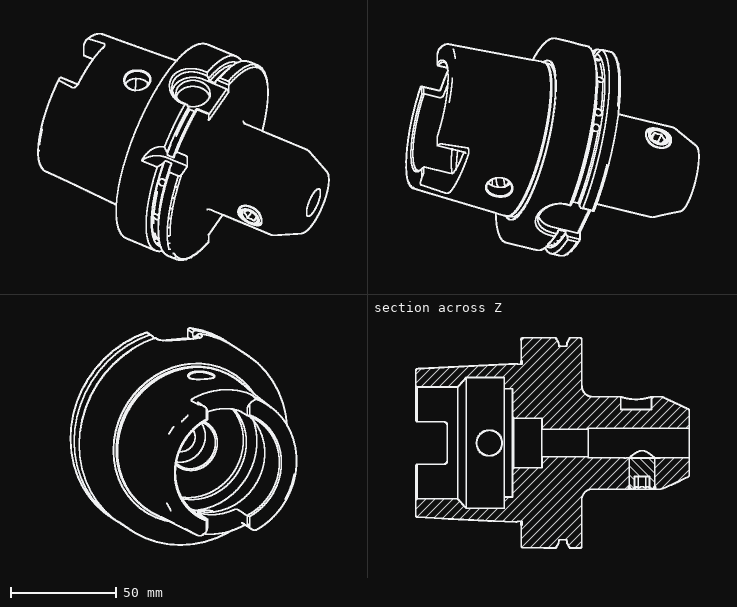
import cadquery as cq
import math


RELIEF_START = 47.9
RELIEF_BOTTOM = 48.6
FLANGE_START = 50.0
FLANGE_END = 79.0
NOSE_CONE_START = 117.0
OVERALL_LENGTH = 130.0

SHANK_TIP_RADIUS = 35.3
SHANK_TAPER = 1 / 10
SHANK_BASE_RADIUS = SHANK_TIP_RADIUS + RELIEF_START * SHANK_TAPER / 2
SHANK_TIP_FILLET = 1.0
SHANK_ROOT_OVERLAP = 2.0
RELIEF_RADIUS = 37.45
CROSS_HOLE_DIAMETER = 12.0
CROSS_HOLE_CHAMFER = 0.4
CROSS_HOLE_X = 35.0

DRIVE_SLOT_HALF_WIDTH = 10.0
DRIVE_SLOT_STRAIGHT_TOP = 27.2
DRIVE_SLOT_FLARE_RADIUS = 5.0
DRIVE_SLOT_FLOOR_FILLET = 1.6
TOP_DRIVE_SLOT_DEPTH = 10.0
BOTTOM_DRIVE_SLOT_DEPTH = 15.0
DRIVE_SLOT_LEAD_WIDTH = 1.15
DRIVE_SLOT_LEAD_DEPTH = 0.66

MOUTH_RADIUS = 26.5
MOUTH_CHAMFER = 0.75
MOUTH_LENGTH = 20.0
CLAMP_UNDERCUT_RADIUS = 31.0
CLAMP_UNDERCUT_START = 24.0
CLAMP_UNDERCUT_END = 42.0
CAVITY_FLOOR_X = 46.0
CAVITY_FLOOR_RADIUS = 25.65
COOLANT_BORE_RADIUS = 11.7
COOLANT_BORE_CHAMFER = 0.7
COOLANT_BORE_END = 60.0
THROUGH_HOLE_RADIUS = 6.5
TOOL_BORE_RADIUS = 7.0
TOOL_BORE_DEPTH = 48.0

FLANGE_RADIUS = 50.0
FLANGE_EDGE_FILLET = 1.0
FACE_RECESS_RADIUS = 38.9
FACE_RECESS_DEPTH = 0.4
GROOVE_CENTRE_X = 69.9
GROOVE_BOTTOM_WIDTH = 3.75
GROOVE_TOP_WIDTH = 6.6
GROOVE_STEP_RADIUS = 47.4
GROOVE_BOTTOM_RADIUS = 46.0
GROOVE_CORNER_FILLET = 0.6

KEY_SLOT_HALF_WIDTH = 10.0
KEY_SLOT_CENTRE_X = 65.0
KEY_SLOT_FLOOR = 44.0
KEY_SLOT_CHAMFER = 1.2
CHIP_POCKET_DIAMETER = 16.2
CHIP_POCKET_DEPTH = 4.5

NOTCH_OFFSET = 31.5
NOTCH_END_RADIUS = 10.0
NOTCH_ARC_CENTRE_X = 67.9

BALANCE_HOLE_DIAMETER = 3.5
BALANCE_HOLE_DEPTH = 10.0
BALANCE_HOLE_ANGLES = (30.0, 4.6, -20.0, -30.0)

NOSE_RADIUS = 22.0
NOSE_ROOT_FILLET = 5.0
NOSE_CONE_ANGLE = 25.0
NOSE_CONE_BLEND = 2.0
NOSE_END_FILLET = 1.0
BALANCE_POCKET_X = 104.7
BALANCE_POCKET_DIAMETER = 14.5
BALANCE_POCKET_DEPTH = 6.0

SCREW_X = 107.5
SCREW_DIAMETER = 12.0
SCREW_HOLE_MOUTH_DIAMETER = 12.8
SCREW_CHAMFER = 1.0
SOCKET_ACROSS_FLATS = 6.0
SOCKET_DEPTH = 6.0
SOCKET_MOUTH_DIAMETER = 8.4

CLEARANCE = 5.0
PICK_MARGIN = 0.1


def turned(profile):
    """Solid of revolution about X from a closed (x, radius) outline."""
    return profile.close().revolve(360, (0, 0, 0), (1, 0, 0))


def rod_x(radius, start, end):
    return cq.Workplane("YZ", origin=(start, 0, 0)).circle(radius).extrude(end - start)


def make_shank():
    """Taper with a relief at its base, a root that reaches into the flange and a cross hole."""
    fillet_end_radius = SHANK_TIP_RADIUS + SHANK_TIP_FILLET * SHANK_TAPER / 2
    profile = (
        cq.Workplane("XY")
        .lineTo(0, SHANK_TIP_RADIUS - SHANK_TIP_FILLET)
        .radiusArc((SHANK_TIP_FILLET, fillet_end_radius), SHANK_TIP_FILLET)
        .lineTo(RELIEF_START, SHANK_BASE_RADIUS)
        .lineTo(RELIEF_BOTTOM, RELIEF_RADIUS)
        .lineTo(FLANGE_START + SHANK_ROOT_OVERLAP, RELIEF_RADIUS)
        .lineTo(FLANGE_START + SHANK_ROOT_OVERLAP, 0)
    )
    shank = turned(profile)
    cross_hole = cq.Workplane("XY", origin=(CROSS_HOLE_X, 0, 0)).circle(CROSS_HOLE_DIAMETER / 2)
    shank = shank.cut(cross_hole.extrude(FLANGE_RADIUS, both=True))
    chamfered_edges = []
    for side in (1, -1):
        rim_zone = cq.selectors.BoxSelector(
            (CROSS_HOLE_X - CROSS_HOLE_DIAMETER, -CROSS_HOLE_DIAMETER, side * MOUTH_RADIUS),
            (CROSS_HOLE_X + CROSS_HOLE_DIAMETER / 2, CROSS_HOLE_DIAMETER, side * FLANGE_RADIUS),
        )
        chamfered_edges += shank.edges(rim_zone).edges("not %LINE").vals()
    return shank.newObject(chamfered_edges).chamfer(CROSS_HOLE_CHAMFER)


def make_drive_slot_cutter(depth):
    """Slot opening upward; its walls flare outward in an arc and its floor corners are rounded."""
    flare_edge = DRIVE_SLOT_HALF_WIDTH + DRIVE_SLOT_FLARE_RADIUS
    flare_top = DRIVE_SLOT_STRAIGHT_TOP + DRIVE_SLOT_FLARE_RADIUS
    outer_edge = FLANGE_RADIUS
    slot = (
        cq.Workplane("YZ", origin=(-CLEARANCE, 0, 0))
        .moveTo(-DRIVE_SLOT_HALF_WIDTH, 0)
        .lineTo(-DRIVE_SLOT_HALF_WIDTH, DRIVE_SLOT_STRAIGHT_TOP)
        .radiusArc((-flare_edge, flare_top), -DRIVE_SLOT_FLARE_RADIUS)
        .lineTo(-outer_edge, flare_top)
        .lineTo(-outer_edge, outer_edge)
        .lineTo(outer_edge, outer_edge)
        .lineTo(outer_edge, flare_top)
        .lineTo(flare_edge, flare_top)
        .radiusArc((DRIVE_SLOT_HALF_WIDTH, DRIVE_SLOT_STRAIGHT_TOP), -DRIVE_SLOT_FLARE_RADIUS)
        .lineTo(DRIVE_SLOT_HALF_WIDTH, 0)
        .close()
        .extrude(CLEARANCE + depth)
    )
    floor_sides = cq.selectors.BoxSelector(
        (depth - PICK_MARGIN, -outer_edge + PICK_MARGIN, PICK_MARGIN),
        (depth + PICK_MARGIN, outer_edge - PICK_MARGIN, flare_top + PICK_MARGIN),
    )
    slot = slot.edges(floor_sides).fillet(DRIVE_SLOT_FLOOR_FILLET)
    lead_in = (
        cq.Workplane("XY")
        .moveTo(0, -DRIVE_SLOT_HALF_WIDTH - DRIVE_SLOT_LEAD_WIDTH)
        .lineTo(0, DRIVE_SLOT_HALF_WIDTH + DRIVE_SLOT_LEAD_WIDTH)
        .lineTo(DRIVE_SLOT_LEAD_DEPTH, DRIVE_SLOT_HALF_WIDTH)
        .lineTo(DRIVE_SLOT_LEAD_DEPTH, -DRIVE_SLOT_HALF_WIDTH)
        .close()
        .extrude(outer_edge)
    )
    return slot.union(lead_in)


def make_key_slot_cutter(side):
    reach = FLANGE_RADIUS + CLEARANCE - KEY_SLOT_FLOOR
    plane = cq.Workplane("XY", origin=(KEY_SLOT_CENTRE_X, 0, side * KEY_SLOT_FLOOR))
    round_end = plane.circle(KEY_SLOT_HALF_WIDTH).extrude(side * reach)
    length = FLANGE_END + CLEARANCE - KEY_SLOT_CENTRE_X
    straight = plane.center(length / 2, 0).rect(length, 2 * KEY_SLOT_HALF_WIDTH).extrude(side * reach)
    return round_end.union(straight)


def make_flange():
    """Disc with two chamfered key slots, rounded edges and a shallow recess around the shank."""
    flange = rod_x(FLANGE_RADIUS, FLANGE_START, FLANGE_END)
    for side in (1, -1):
        flange = flange.cut(make_key_slot_cutter(side))
    chamfered_edges = flange.faces(">X").edges("|Y").vals()
    wall_middle = (KEY_SLOT_FLOOR + FLANGE_RADIUS) / 2 + PICK_MARGIN
    for side in (1, -1):
        rim_zone = cq.selectors.BoxSelector(
            (FLANGE_START + PICK_MARGIN, -KEY_SLOT_HALF_WIDTH - PICK_MARGIN, side * wall_middle),
            (FLANGE_END - PICK_MARGIN, KEY_SLOT_HALF_WIDTH + PICK_MARGIN, side * FLANGE_RADIUS),
        )
        chamfered_edges += flange.edges(rim_zone).vals()
    flange = flange.newObject(chamfered_edges).chamfer(KEY_SLOT_CHAMFER)
    rounded_blank = rod_x(FLANGE_RADIUS, FLANGE_START, FLANGE_END).edges().fillet(FLANGE_EDGE_FILLET)
    face_recess = rod_x(FACE_RECESS_RADIUS, FLANGE_START, FLANGE_START + FACE_RECESS_DEPTH)
    return flange.intersect(rounded_blank).cut(face_recess)


def make_chip_pocket_cutter():
    plane = cq.Workplane("XY", origin=(KEY_SLOT_CENTRE_X, 0, KEY_SLOT_FLOOR - CHIP_POCKET_DEPTH))
    return plane.circle(CHIP_POCKET_DIAMETER / 2).extrude(CHIP_POCKET_DEPTH + CLEARANCE)


def make_groove_cutter():
    """Gripper groove with sloping sides above a straight-walled bottom."""
    half_bottom = GROOVE_BOTTOM_WIDTH / 2
    half_top = GROOVE_TOP_WIDTH / 2
    corner_x = half_bottom - GROOVE_CORNER_FILLET
    corner_radius = GROOVE_BOTTOM_RADIUS + GROOVE_CORNER_FILLET
    outside = FLANGE_RADIUS + CLEARANCE
    profile = (
        cq.Workplane("XY", origin=(GROOVE_CENTRE_X, 0, 0))
        .moveTo(-corner_x, GROOVE_BOTTOM_RADIUS)
        .lineTo(corner_x, GROOVE_BOTTOM_RADIUS)
        .radiusArc((half_bottom, corner_radius), -GROOVE_CORNER_FILLET)
        .lineTo(half_bottom, GROOVE_STEP_RADIUS)
        .lineTo(half_top, FLANGE_RADIUS)
        .lineTo(half_top, outside)
        .lineTo(-half_top, outside)
        .lineTo(-half_top, FLANGE_RADIUS)
        .lineTo(-half_bottom, GROOVE_STEP_RADIUS)
        .lineTo(-half_bottom, corner_radius)
        .radiusArc((-corner_x, GROOVE_BOTTOM_RADIUS), -GROOVE_CORNER_FILLET)
    )
    return turned(profile)


def make_notch_cutter():
    """Corner step with flat faces at -Y and +Z, run out at its -X end by an upright cutter."""
    outer = FLANGE_RADIUS + CLEARANCE
    height = outer - NOTCH_OFFSET
    plane = cq.Workplane("XY", origin=(NOTCH_ARC_CENTRE_X, -NOTCH_OFFSET, NOTCH_OFFSET))
    profile = (
        plane.lineTo(FLANGE_END + CLEARANCE - NOTCH_ARC_CENTRE_X, 0)
        .lineTo(FLANGE_END + CLEARANCE - NOTCH_ARC_CENTRE_X, -height)
        .lineTo(-NOTCH_END_RADIUS, -height)
        .lineTo(-NOTCH_END_RADIUS, -NOTCH_END_RADIUS)
        .radiusArc((0, 0), NOTCH_END_RADIUS)
        .close()
    )
    return profile.extrude(height)


def make_balance_hole_cutter(angle):
    """Radial hole; the angle is measured from -Y towards +Z."""
    hole_floor = GROOVE_BOTTOM_RADIUS - BALANCE_HOLE_DEPTH
    plane = cq.Workplane("XZ", origin=(GROOVE_CENTRE_X, -hole_floor, 0))
    hole = plane.circle(BALANCE_HOLE_DIAMETER / 2).extrude(BALANCE_HOLE_DEPTH + GROOVE_CORNER_FILLET)
    return hole.rotate((0, 0, 0), (1, 0, 0), -angle)


def make_nose():
    slope = math.radians(NOSE_CONE_ANGLE)
    end_radius = NOSE_RADIUS - (OVERALL_LENGTH - NOSE_CONE_START) * math.tan(slope)
    blend_reach = NOSE_CONE_BLEND * math.tan(slope / 2)
    end_reach = NOSE_END_FILLET * math.tan((math.pi / 2 - slope) / 2)
    profile = (
        cq.Workplane("XY", origin=(FLANGE_END, 0, 0))
        .lineTo(0, NOSE_RADIUS + NOSE_ROOT_FILLET)
        .radiusArc((NOSE_ROOT_FILLET, NOSE_RADIUS), -NOSE_ROOT_FILLET)
        .lineTo(NOSE_CONE_START - blend_reach - FLANGE_END, NOSE_RADIUS)
        .radiusArc(
            (
                NOSE_CONE_START + blend_reach * math.cos(slope) - FLANGE_END,
                NOSE_RADIUS - blend_reach * math.sin(slope),
            ),
            NOSE_CONE_BLEND,
        )
        .lineTo(
            OVERALL_LENGTH - end_reach * math.cos(slope) - FLANGE_END,
            end_radius + end_reach * math.sin(slope),
        )
        .radiusArc((OVERALL_LENGTH - FLANGE_END, end_radius - end_reach), NOSE_END_FILLET)
        .lineTo(OVERALL_LENGTH - FLANGE_END, 0)
    )
    return turned(profile)


def make_cavity_cutter():
    """Everything bored along the axis, from the open shank end to the nose."""
    profile = (
        cq.Workplane("XY")
        .lineTo(0, MOUTH_RADIUS + MOUTH_CHAMFER)
        .lineTo(MOUTH_CHAMFER, MOUTH_RADIUS)
        .lineTo(MOUTH_LENGTH, MOUTH_RADIUS)
        .lineTo(CLAMP_UNDERCUT_START, CLAMP_UNDERCUT_RADIUS)
        .lineTo(CLAMP_UNDERCUT_END, CLAMP_UNDERCUT_RADIUS)
        .lineTo(CLAMP_UNDERCUT_END, CAVITY_FLOOR_RADIUS)
        .lineTo(CAVITY_FLOOR_X, CAVITY_FLOOR_RADIUS)
        .lineTo(CAVITY_FLOOR_X, COOLANT_BORE_RADIUS + COOLANT_BORE_CHAMFER)
        .lineTo(CAVITY_FLOOR_X + COOLANT_BORE_CHAMFER, COOLANT_BORE_RADIUS)
        .lineTo(COOLANT_BORE_END, COOLANT_BORE_RADIUS)
        .lineTo(COOLANT_BORE_END, THROUGH_HOLE_RADIUS)
        .lineTo(OVERALL_LENGTH - TOOL_BORE_DEPTH, THROUGH_HOLE_RADIUS)
        .lineTo(OVERALL_LENGTH - TOOL_BORE_DEPTH, TOOL_BORE_RADIUS)
        .lineTo(OVERALL_LENGTH, TOOL_BORE_RADIUS)
        .lineTo(OVERALL_LENGTH, 0)
    )
    return turned(profile)


def make_balance_pocket_cutter():
    plane = cq.Workplane("XZ", origin=(BALANCE_POCKET_X, NOSE_RADIUS - BALANCE_POCKET_DEPTH, 0))
    return plane.circle(BALANCE_POCKET_DIAMETER / 2).extrude(-(BALANCE_POCKET_DEPTH + CLEARANCE))


def make_screw_hole_cutter():
    """Screw hole from the nose surface to the tool bore, with a countersunk mouth."""
    mouth_radius = SCREW_HOLE_MOUTH_DIAMETER / 2
    rim_depth = math.sqrt(NOSE_RADIUS**2 - mouth_radius**2)
    lead = mouth_radius - SCREW_DIAMETER / 2
    plane = cq.Workplane("XZ", origin=(SCREW_X, 0, 0))
    hole = plane.circle(SCREW_DIAMETER / 2).extrude(NOSE_RADIUS + CLEARANCE)
    mouth = plane.workplane(offset=rim_depth).circle(mouth_radius).extrude(CLEARANCE)
    countersink = (
        plane.workplane(offset=rim_depth - lead)
        .circle(SCREW_DIAMETER / 2)
        .workplane(offset=lead)
        .circle(mouth_radius)
        .loft()
    )
    return hole.union(mouth).union(countersink)


def make_holder():
    holder = make_shank().union(make_flange()).union(make_nose())
    holder = holder.cut(make_cavity_cutter())
    holder = holder.cut(make_drive_slot_cutter(TOP_DRIVE_SLOT_DEPTH))
    bottom_slot = make_drive_slot_cutter(BOTTOM_DRIVE_SLOT_DEPTH)
    holder = holder.cut(bottom_slot.rotate((0, 0, 0), (1, 0, 0), 180))
    holder = holder.cut(make_groove_cutter())
    holder = holder.cut(make_chip_pocket_cutter())
    holder = holder.cut(make_notch_cutter())
    for angle in BALANCE_HOLE_ANGLES:
        holder = holder.cut(make_balance_hole_cutter(angle))
    holder = holder.cut(make_balance_pocket_cutter())
    return holder.cut(make_screw_hole_cutter())


def make_screw():
    """Set screw flush with the nose, reaching the tool bore, with a hexagon socket."""
    plane = cq.Workplane("XZ", origin=(SCREW_X, 0, 0))
    tip = plane.workplane(offset=TOOL_BORE_RADIUS)
    screw = tip.circle(SCREW_DIAMETER / 2).extrude(NOSE_RADIUS - TOOL_BORE_RADIUS)
    screw = screw.faces("<Y").edges().chamfer(SCREW_CHAMFER)
    across_corners = SOCKET_ACROSS_FLATS / math.cos(math.pi / 6)
    socket_floor = plane.workplane(offset=NOSE_RADIUS - SOCKET_DEPTH)
    socket = socket_floor.polygon(6, across_corners).extrude(SOCKET_DEPTH)
    lead = (SOCKET_MOUTH_DIAMETER - SOCKET_ACROSS_FLATS) / 2
    socket_mouth = (
        plane.workplane(offset=NOSE_RADIUS - lead)
        .circle(SOCKET_ACROSS_FLATS / 2)
        .workplane(offset=lead)
        .circle(SOCKET_MOUTH_DIAMETER / 2)
        .loft()
    )
    return screw.cut(socket).cut(socket_mouth)


holder = make_holder()
screw = make_screw()
result = cq.Compound.makeCompound([holder.val(), screw.val()])